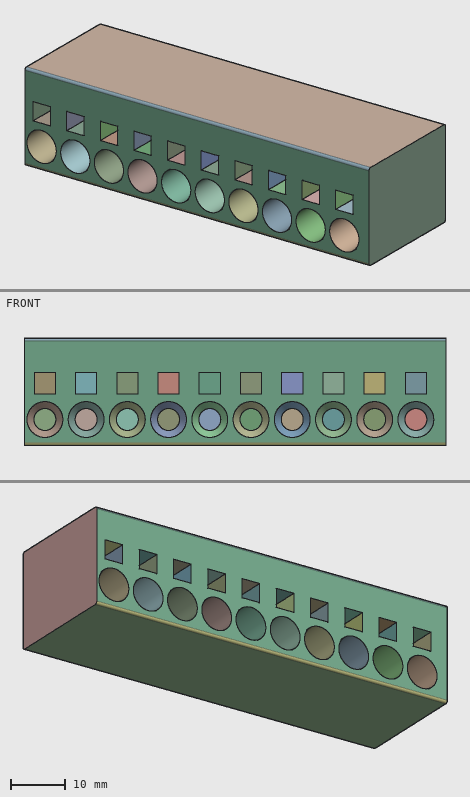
import cadquery as cq

length = 76.8
depth = 24.1
height = 19.6
edge_radius = 0.5

terminal_count = 10
end_plate = 1.8
pitch = (length - end_plate) / terminal_count

entry_diameter = 6.5
entry_floor_diameter = 4.0
entry_bore_depth = 9.2
entry_funnel_depth = 2.0
entry_height = 4.8

slot_side = 3.85
slot_depth = 11.5
slot_height = 11.4


def make_housing():
    """Block with its four long edges rounded."""
    block = cq.Workplane("XY").box(length, depth, height, centered=False)
    return block.edges("|X").fillet(edge_radius)


def make_wire_entry(x):
    """Solid to be cut for one wire entry, revolved about its axis along Y."""
    entry_radius = entry_diameter / 2
    floor_radius = entry_floor_diameter / 2
    entry_depth = entry_bore_depth + entry_funnel_depth
    half_section = (
        cq.Workplane("XY")
        .lineTo(entry_radius, 0)
        .lineTo(entry_radius, entry_bore_depth)
        .lineTo(floor_radius, entry_depth)
        .lineTo(0, entry_depth)
        .close()
    )
    return half_section.revolve(360, (0, 0, 0), (0, 1, 0)).translate((x, 0, entry_height))


def make_release_slot(x):
    """Square bar to be cut for one release slot, from the front face inward."""
    bar = cq.Workplane("XY").box(slot_side, slot_depth, slot_side, centered=(True, False, True))
    return bar.translate((x, 0, slot_height))


result = make_housing()
for index in range(terminal_count):
    terminal_x = (index + 0.5) * pitch
    result = result.cut(make_wire_entry(terminal_x))
    result = result.cut(make_release_slot(terminal_x))